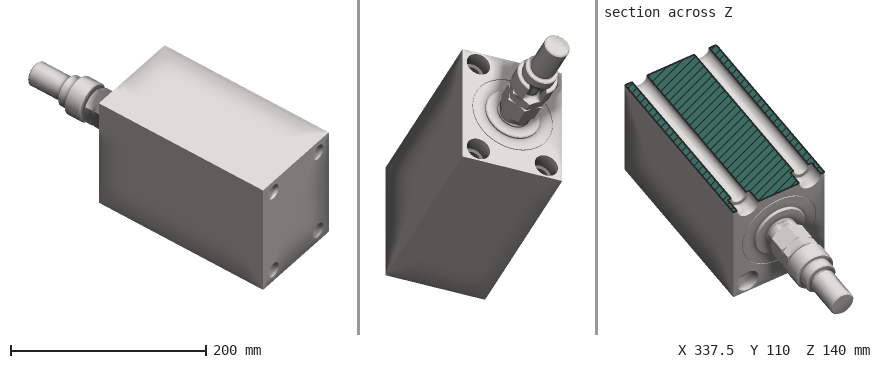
import cadquery as cq
import math

TIP_X = 0.0
NECK_X = 40.0
COLLAR_X = 42.2
SLOT_X = 51.5
RING_X = 54.0
RING_END_X = 74.0
PIN_HEX_X = 76.5
NUT_X = 88.5
ROD_X = 110.7
ROD_SHOULDER_X = 118.8
GLAND_X = 121.5
HOUSING_X = 124.5
REAR_X = 337.5

HOUSING_WIDTH = 110.0
HOUSING_HEIGHT = 140.0
GLAND_RADIUS = 30.0
GLAND_CHAMFER = 1.0
GROOVE_OUTER_RADIUS = 44.5
GROOVE_WIDTH = 1.0
GROOVE_DEPTH = 1.0
BOLT_SPACING_Y = 75.0
BOLT_SPACING_Z = 110.0
BOLT_HOLE_RADIUS = 8.8
COUNTERBORE_RADIUS = 12.8
COUNTERBORE_DEPTH = 18.0

ROD_RADIUS = 18.0
ROD_CHAMFER = 1.0
ROD_FLAT_SPAN = 32.5
ROD_INSERTION = 40.5
ROD_END_X = HOUSING_X + ROD_INSERTION

HEX_SIDES = 6
HEX_ACROSS_FLATS = 36.0
HEX_CHAMFER_ANGLE = 30.0
STUD_RADIUS = 9.5
THREAD_ENGAGEMENT = 20.2
STUD_END_X = ROD_X + THREAD_ENGAGEMENT

SHAFT_RADIUS = 14.0
SHAFT_CHAMFER = 1.5
NECK_RADIUS = 12.5
COLLAR_RADIUS = 18.0
RING_RADIUS = 22.3
COLLAR_CHAMFER = 1.0


def cylinder(radius, start_x, end_x):
    """Cylinder on the X axis between two stations."""
    return cq.Workplane("YZ", origin=(start_x, 0, 0)).circle(radius).extrude(end_x - start_x)


def chamfered_hexagon(start_x, end_x):
    """Hexagon with flats facing +Y and -Y and both ends turned to a cone."""
    flat_radius = HEX_ACROSS_FLATS / 2
    corner_radius = flat_radius / math.cos(math.pi / HEX_SIDES)
    cone_length = (corner_radius - flat_radius) * math.tan(math.radians(HEX_CHAMFER_ANGLE))
    hexagon = (
        cq.Workplane("YZ", origin=(start_x, 0, 0))
        .transformed(rotate=(0, 0, 90))
        .polygon(HEX_SIDES, 2 * corner_radius)
        .extrude(end_x - start_x)
    )
    envelope = (
        cq.Workplane("XY")
        .moveTo(start_x, 0)
        .lineTo(start_x, flat_radius)
        .lineTo(start_x + cone_length, corner_radius)
        .lineTo(end_x - cone_length, corner_radius)
        .lineTo(end_x, flat_radius)
        .lineTo(end_x, 0)
        .close()
        .revolve(360, (0, 0, 0), (1, 0, 0))
    )
    return hexagon.intersect(envelope)


def make_housing():
    """Block with a projecting rod gland, a ring groove and four counterbored bolt holes."""
    block = (
        cq.Workplane("YZ", origin=(HOUSING_X, 0, 0))
        .rect(HOUSING_WIDTH, HOUSING_HEIGHT)
        .extrude(REAR_X - HOUSING_X)
    )
    gland = cylinder(GLAND_RADIUS, GLAND_X, HOUSING_X).faces("<X").chamfer(GLAND_CHAMFER)
    groove = (
        cq.Workplane("YZ", origin=(HOUSING_X, 0, 0))
        .circle(GROOVE_OUTER_RADIUS)
        .circle(GROOVE_OUTER_RADIUS - GROOVE_WIDTH)
        .extrude(GROOVE_DEPTH)
    )
    bolt_hole = cylinder(BOLT_HOLE_RADIUS, HOUSING_X, REAR_X).union(
        cylinder(COUNTERBORE_RADIUS, HOUSING_X, HOUSING_X + COUNTERBORE_DEPTH)
    )
    housing = block.union(gland).cut(groove)
    for side_y in (-1, 1):
        for side_z in (-1, 1):
            place = (0, side_y * BOLT_SPACING_Y / 2, side_z * BOLT_SPACING_Z / 2)
            housing = housing.cut(bolt_hole.translate(place))
    return housing.cut(cylinder(ROD_RADIUS, GLAND_X, ROD_END_X))


def make_rod():
    """Piston rod with four wrench flats at its end and a bore for the pin."""
    shank = cylinder(ROD_RADIUS, ROD_SHOULDER_X, ROD_END_X).faces("<X").chamfer(ROD_CHAMFER)
    wrench_end = cylinder(ROD_RADIUS, ROD_X, ROD_SHOULDER_X).intersect(
        cq.Workplane("YZ", origin=(ROD_X, 0, 0))
        .rect(ROD_FLAT_SPAN, ROD_FLAT_SPAN)
        .extrude(ROD_SHOULDER_X - ROD_X)
    )
    return shank.union(wrench_end).cut(cylinder(STUD_RADIUS, ROD_X, STUD_END_X))


def make_pin():
    """Coupling pin: a round stud with a wrench hexagon, reaching from the coupling slot into the rod."""
    return cylinder(STUD_RADIUS, SLOT_X, STUD_END_X).union(chamfered_hexagon(PIN_HEX_X, NUT_X))


def make_nut():
    """Lock nut that sits on the stud between the pin hexagon and the rod."""
    return chamfered_hexagon(NUT_X, ROD_X).cut(cylinder(STUD_RADIUS, NUT_X, ROD_X))


def make_coupling():
    """Stepped shaft whose collar and ring are slotted from below for the pin."""
    shaft = cylinder(SHAFT_RADIUS, TIP_X, NECK_X).faces("<X or >X").chamfer(SHAFT_CHAMFER)
    neck = cylinder(NECK_RADIUS, NECK_X, COLLAR_X)
    collar = cylinder(COLLAR_RADIUS, COLLAR_X, RING_X).faces("<X").chamfer(COLLAR_CHAMFER)
    ring = cylinder(RING_RADIUS, RING_X, RING_END_X).faces("<X or >X").chamfer(COLLAR_CHAMFER)
    slot_length = RING_END_X - SLOT_X
    slot = cylinder(STUD_RADIUS, SLOT_X, RING_END_X).union(
        cq.Workplane("XY", origin=(SLOT_X + slot_length / 2, 0, -RING_RADIUS))
        .rect(slot_length, 2 * STUD_RADIUS)
        .extrude(RING_RADIUS)
    )
    return shaft.union(neck).union(collar).union(ring).cut(slot)


housing = make_housing()
rod = make_rod()
pin = make_pin()
nut = make_nut()
coupling = make_coupling()

result = cq.Compound.makeCompound(
    [housing.val(), rod.val(), pin.val(), nut.val(), coupling.val()]
)